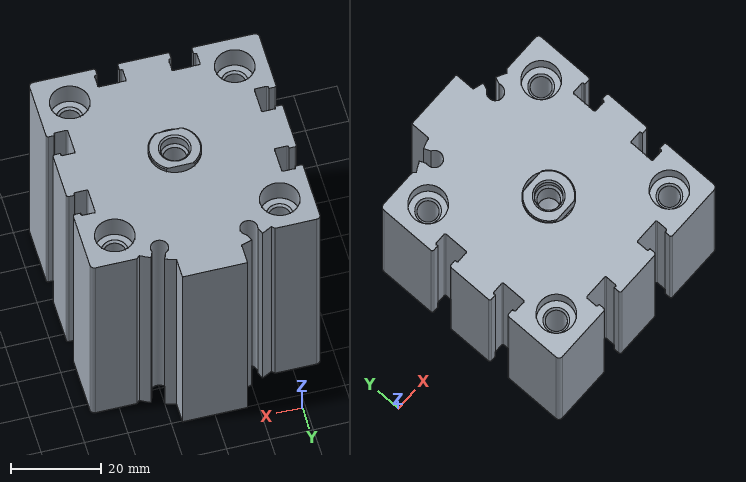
import cadquery as cq
import math

body_width = 53.0
body_height = 54.45
half_width = body_width / 2
corner_radius = 1.0

crown_radius = 29.95
nose_width = 15.0
nose_tip = 34.0
groove_outer_x = 15.9

sensor_bore_diameter = 4.0
sensor_mouth_width = 3.0
sensor_bore_radius = 26.85
sensor_slot_angle = 22.5

t_slot_offset = 8.55
t_mouth_width = 5.1
t_inner_width = 6.5
t_lip_depth = 1.8
t_slot_depth = 5.0
t_mouth_fillet = 0.5
t_inner_fillet = 0.3

mount_offset = 19.0
mount_hole_diameter = 4.9
mount_chamfer_diameter = 5.9
mount_counterbore_diameter = 9.0
mount_counterbore_depth = 5.75

rod_diameter = 12.0
rod_projection = 1.0
rod_insertion = 30.25
rod_chamfer = 0.25
rod_across_flats = 10.0
rod_flat_height = 4.85

rod_recess_diameter = 6.4
rod_recess_depth = 2.7
rod_recess_chamfer = 0.4
rod_hole_diameter = 5.2
rod_hole_depth = 12.1
drill_tip_angle = 118.0


def cylinder(diameter, bottom, top):
    """Upright cylinder on the Z axis between two heights."""
    return cq.Workplane("XY").workplane(offset=bottom).circle(diameter / 2).extrude(top - bottom)


def cone(bottom_diameter, top_diameter, bottom, top):
    """Upright cone on the Z axis; either end may be a point."""
    return cq.Workplane("XY").add(
        cq.Solid.makeCone(
            bottom_diameter / 2, top_diameter / 2, top - bottom, pnt=cq.Vector(0, 0, bottom)
        )
    )


def crown_height(x):
    """Y of the crown's circle, centred on the rod axis, at a given X."""
    return math.sqrt(crown_radius**2 - x**2)


def make_block():
    """Square block with its crown and nose, before anything is cut."""
    rise = half_width - groove_outer_x
    groove_x = (math.sqrt(2 * crown_radius**2 - rise**2) - rise) / 2
    groove_y = crown_height(groove_x)
    nose_x = nose_width / 2
    nose_y = crown_height(nose_x)
    middle_x = (groove_x + nose_x) / 2
    middle_y = crown_height(middle_x)
    outline = (
        cq.Workplane("XY")
        .moveTo(-half_width, -half_width)
        .lineTo(half_width, -half_width)
        .lineTo(half_width, half_width)
        .lineTo(groove_outer_x, half_width)
        .lineTo(groove_x, groove_y)
        .threePointArc((middle_x, middle_y), (nose_x, nose_y))
        .lineTo(nose_x, nose_tip)
        .lineTo(-nose_x, nose_tip)
        .lineTo(-nose_x, nose_y)
        .threePointArc((-middle_x, middle_y), (-groove_x, groove_y))
        .lineTo(-groove_outer_x, half_width)
        .lineTo(-half_width, half_width)
        .close()
    )
    block = outline.extrude(body_height)
    for x in (-half_width, half_width):
        for y in (-half_width, half_width):
            corner_edge = cq.selectors.NearestToPointSelector((x, y, body_height / 2))
            block = block.edges("|Z").edges(corner_edge).fillet(corner_radius)
    return block


def make_t_slot():
    """Cutter for a T-slot that opens on the -Y face, centred on X = 0."""
    face = -half_width
    flare = t_mouth_width / 2 + t_mouth_fillet
    mouth = t_mouth_width / 2
    bend = t_mouth_fillet * (1 - math.sqrt(0.5))
    opening = (
        cq.Workplane("XY")
        .moveTo(-flare, face)
        .threePointArc((-mouth - bend, face + bend), (-mouth, face + t_mouth_fillet))
        .lineTo(-mouth, face + t_slot_depth / 2)
        .lineTo(mouth, face + t_slot_depth / 2)
        .lineTo(mouth, face + t_mouth_fillet)
        .threePointArc((mouth + bend, face + bend), (flare, face))
        .close()
        .extrude(body_height)
    )
    inside = (
        cq.Workplane("XY")
        .center(0, face + (t_lip_depth + t_slot_depth) / 2)
        .rect(t_inner_width, t_slot_depth - t_lip_depth)
        .extrude(body_height)
        .edges("|Z")
        .fillet(t_inner_fillet)
    )
    return opening.union(inside)


def make_sensor_slot():
    """Cutter for a round-bottomed slot that opens in the +Y direction."""
    bore = cylinder(sensor_bore_diameter, 0, body_height).translate((0, sensor_bore_radius, 0))
    mouth_length = nose_tip - sensor_bore_radius
    mouth = (
        cq.Workplane("XY")
        .center(0, sensor_bore_radius + mouth_length / 2)
        .rect(sensor_mouth_width, mouth_length)
        .extrude(body_height)
    )
    return bore.union(mouth)


def make_mount_hole():
    """Cutter for a through hole with a chamfered edge at its counterbore floor."""
    floor = body_height - mount_counterbore_depth
    chamfer = (mount_chamfer_diameter - mount_hole_diameter) / 2
    return (
        cylinder(mount_hole_diameter, 0, body_height)
        .union(cylinder(mount_counterbore_diameter, floor, body_height))
        .union(cone(mount_hole_diameter, mount_chamfer_diameter, floor - chamfer, floor))
    )


def make_housing():
    housing = make_block()

    t_slot = make_t_slot()
    for side_angle in (-90, 0, 90):
        for offset in (-t_slot_offset, t_slot_offset):
            cutter = t_slot.translate((offset, 0, 0)).rotate((0, 0, 0), (0, 0, 1), side_angle)
            housing = housing.cut(cutter)

    sensor_slot = make_sensor_slot()
    for angle in (-sensor_slot_angle, sensor_slot_angle):
        housing = housing.cut(sensor_slot.rotate((0, 0, 0), (0, 0, 1), angle))

    mount_hole = make_mount_hole()
    for x in (-mount_offset, mount_offset):
        for y in (-mount_offset, mount_offset):
            housing = housing.cut(mount_hole.translate((x, y, 0)))

    rod_bore = cylinder(rod_diameter, body_height - rod_insertion, body_height)
    return housing.cut(rod_bore)


def make_rod():
    rod_top = body_height + rod_projection
    rod = cylinder(rod_diameter, body_height - rod_insertion, rod_top)
    rod = rod.faces(">Z").chamfer(rod_chamfer)

    flat_band = cylinder(2 * rod_diameter, rod_top - rod_flat_height, rod_top)
    between_flats = cq.Workplane("XY").rect(2 * rod_diameter, rod_across_flats).extrude(rod_top)
    rod = rod.cut(flat_band.cut(between_flats))

    hole_floor = rod_top - rod_hole_depth
    tip_length = rod_hole_diameter / 2 / math.tan(math.radians(drill_tip_angle / 2))
    rim_diameter = rod_recess_diameter + 2 * rod_recess_chamfer
    recess_floor = rod_top - rod_recess_depth
    taper_height = (rod_recess_diameter - rod_hole_diameter) / 2
    hole = (
        cylinder(rod_hole_diameter, hole_floor, rod_top)
        .union(cone(0, rod_hole_diameter, hole_floor - tip_length, hole_floor))
        .union(cone(rod_hole_diameter, rod_recess_diameter, recess_floor - taper_height, recess_floor))
        .union(cylinder(rod_recess_diameter, recess_floor, rod_top))
        .union(cone(rod_recess_diameter, rim_diameter, rod_top - rod_recess_chamfer, rod_top))
    )
    return rod.cut(hole)


housing = make_housing()
rod = make_rod()

result = cq.Compound.makeCompound([*housing.solids().vals(), *rod.solids().vals()])